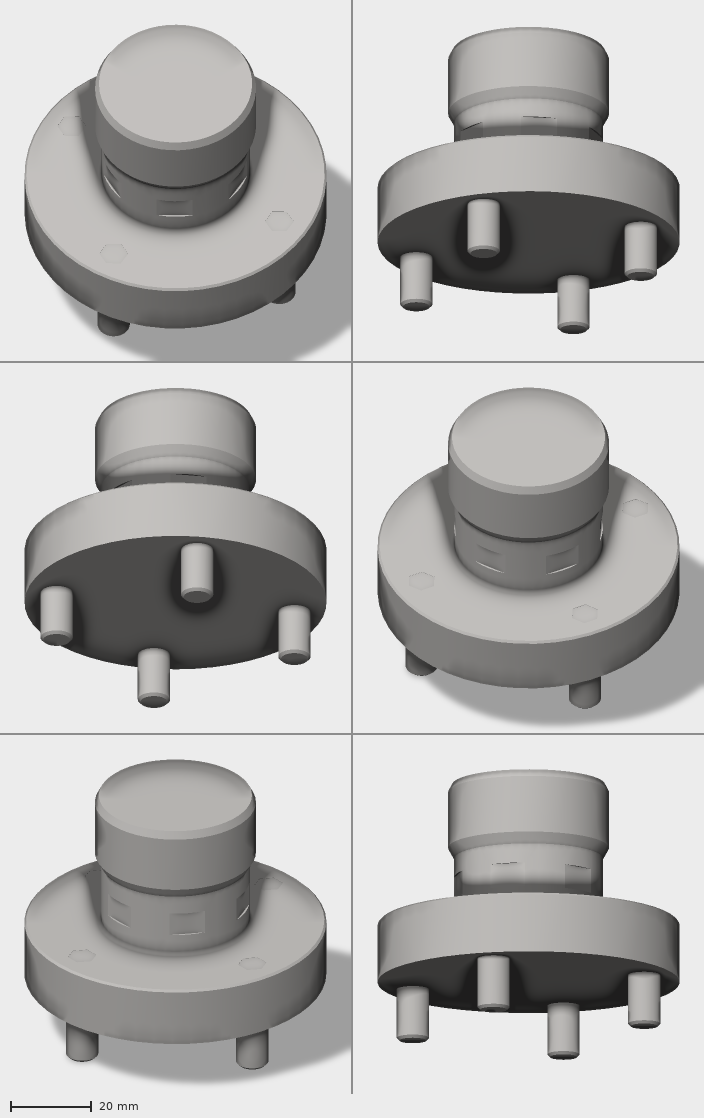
import cadquery as cq
import math

flange_diameter = 75
flange_height = 15
flange_chamfer = 0.5

neck_diameter = 37.0
neck_fillet = 1.0
head_diameter = 40.0
head_top = 50.0
head_height = 16.0
head_chamfer = 1.0
head_chamfer_height = 1.9
head_cone_height = 2.7

window_count = 6
window_width = 9
window_height = 6
window_bottom = 20.55
window_flat_distance = math.sqrt((neck_diameter / 2) ** 2 - (window_width / 2) ** 2)

screw_count = 4
screw_circle_radius = 30
screw_head_diameter = 12.3
screw_head_height = 7.5
screw_diameter = 8.0
screw_protrusion = 13.0
screw_tip_chamfer = 0.7
hex_across_flats = 6.2
hex_depth = 0.1


def make_body():
    """Flange, neck and head revolved as one profile about Z."""
    flange_radius = flange_diameter / 2
    neck_radius = neck_diameter / 2
    head_radius = head_diameter / 2
    head_bottom = head_top - head_height
    fillet_middle = neck_fillet * (1 - math.sqrt(0.5))
    return (
        cq.Workplane("XZ")
        .lineTo(flange_radius, 0)
        .lineTo(flange_radius, flange_height - flange_chamfer)
        .lineTo(flange_radius - flange_chamfer, flange_height)
        .lineTo(neck_radius + neck_fillet, flange_height)
        .threePointArc(
            (neck_radius + fillet_middle, flange_height + fillet_middle),
            (neck_radius, flange_height + neck_fillet),
        )
        .lineTo(neck_radius, head_bottom - head_cone_height)
        .lineTo(head_radius, head_bottom)
        .lineTo(head_radius, head_top - head_chamfer_height)
        .lineTo(head_radius - head_chamfer, head_top)
        .lineTo(0, head_top)
        .close()
        .revolve(360, (0, 0, 0), (0, 1, 0))
    )


def make_windows():
    """Cutters that leave a flat on the neck, one of them facing -X."""
    cutters = cq.Workplane("XY")
    for index in range(window_count):
        cutter = (
            cq.Workplane("XY")
            .box(neck_diameter, neck_diameter, window_height, centered=(False, True, False))
            .translate((window_flat_distance, 0, window_bottom))
            .rotate((0, 0, 0), (0, 0, 1), index * 360 / window_count)
        )
        cutters = cutters.add(cutter)
    return cutters.combine()


def make_screw():
    """Cap screw on the Z axis, its head top level with the flange top."""
    shank = (
        cq.Workplane("XY")
        .workplane(offset=-screw_protrusion)
        .circle(screw_diameter / 2)
        .extrude(screw_protrusion + flange_height - screw_head_height)
        .faces("<Z")
        .chamfer(screw_tip_chamfer)
    )
    head = (
        cq.Workplane("XY")
        .workplane(offset=flange_height - screw_head_height)
        .circle(screw_head_diameter / 2)
        .extrude(screw_head_height)
    )
    socket = (
        cq.Workplane("XY")
        .workplane(offset=flange_height - hex_depth)
        .polygon(6, hex_across_flats / math.cos(math.pi / 6))
        .extrude(hex_depth)
        .rotate((0, 0, 0), (0, 0, 1), 30)
    )
    return shank.union(head).cut(socket)


def make_screw_seat():
    """Counterbored hole that the screw fills."""
    return (
        cq.Workplane("XY")
        .circle(screw_diameter / 2)
        .extrude(flange_height)
        .union(
            cq.Workplane("XY")
            .workplane(offset=flange_height - screw_head_height)
            .circle(screw_head_diameter / 2)
            .extrude(screw_head_height)
        )
    )


result = make_body().cut(make_windows())

screw = make_screw()
screw_seat = make_screw_seat()
for index in range(screw_count):
    angle = 2 * math.pi * index / screw_count
    place = (screw_circle_radius * math.cos(angle), screw_circle_radius * math.sin(angle), 0)
    result = result.cut(screw_seat.translate(place), clean=False)
    result = result.union(screw.translate(place), clean=False)